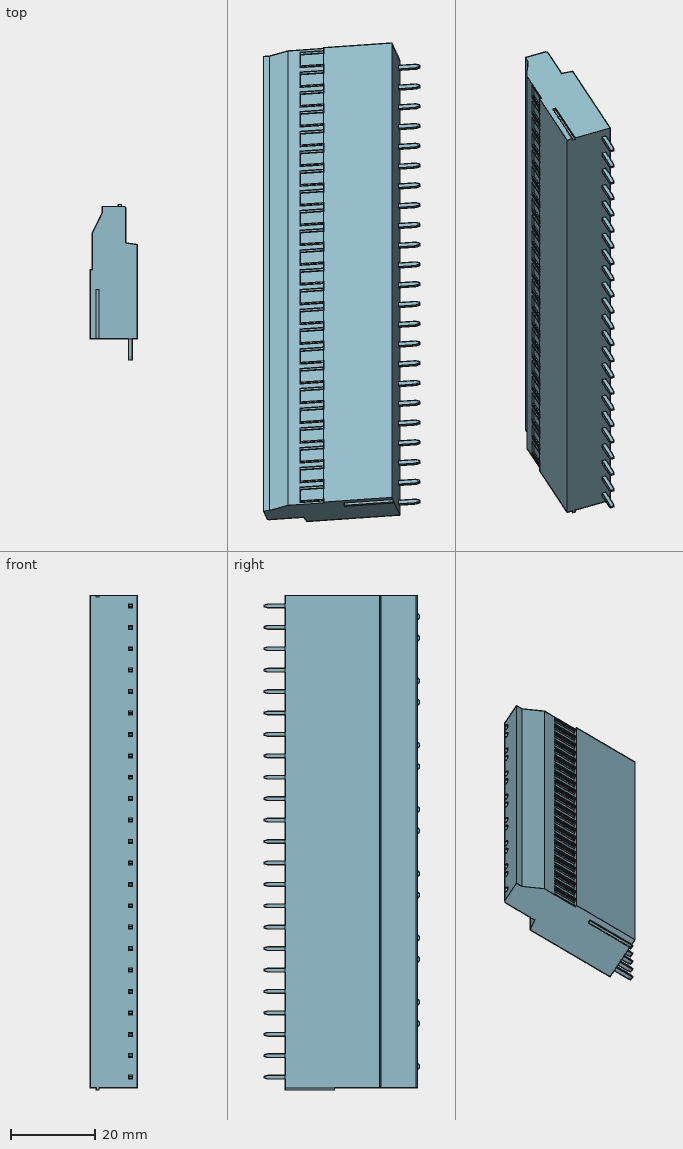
import cadquery as cq

total_height = 117.4
total_depth = 37.0
width = 11.2
rib_height = 0.6
pin_length = 5.0
ridge_height = 0.5
housing_height = total_height - rib_height
depth = total_depth - pin_length - ridge_height
lip_step = 0.5
lip_depth = 16.5
bevel_start = 25.1
bevel_end = 30.0
back_left = 2.8
back_right = 8.5
shoulder_depth = 22.4
shoulder_rise = 0.4
back_corner_chamfer = 0.4

contact_count = 23
row_span = 111.8
pitch = row_span / (contact_count - 1)
row_top = (housing_height + row_span) / 2

pin_size = 0.9
pin_x = 9.5
pin_tip_length = 0.9
pin_tip_size = 0.4

window_start = lip_depth
window_end = 22.2
window_height = 3.9
window_depth = 0.2
window_inner_height = 2.9
window_inner_depth = 0.6

rib_x = 1.8
rib_width = 0.7
rib_length = 11.7
groove_depth = 0.5

gaps_per_group = 3
ridge_x = 7.0
ridge_width = 0.8
ridge_base = 1.4


def box(x_range, y_range, z_range):
    """Box spanning the given (low, high) ranges."""
    size = [high - low for low, high in (x_range, y_range, z_range)]
    corner = (x_range[0], y_range[0], z_range[0])
    return cq.Workplane("XY").box(*size, centered=False).translate(corner)


def centered_range(middle, size):
    return (middle - size / 2, middle + size / 2)


def housing():
    outline = [
        (0, 0),
        (width, 0),
        (width, shoulder_depth),
        (back_right, shoulder_depth + shoulder_rise),
        (back_right, depth - back_corner_chamfer),
        (back_right - back_corner_chamfer, depth),
        (back_left, depth),
        (back_left, bevel_end),
        (lip_step, bevel_start),
        (lip_step, lip_depth),
        (0, lip_depth),
    ]
    return cq.Workplane("XY").polyline(outline).close().extrude(housing_height)


def pin(z):
    """Square pin whose tip narrows in Z."""
    half = pin_size / 2
    tip_half = pin_tip_size / 2
    tip_end = -pin_length
    tip_start = tip_end + pin_tip_length
    side_outline = [
        (0, z - half),
        (tip_start, z - half),
        (tip_end, z - tip_half),
        (tip_end, z + tip_half),
        (tip_start, z + half),
        (0, z + half),
    ]
    blade = cq.Workplane("YZ").polyline(side_outline).close().extrude(pin_size)
    return blade.translate((pin_x - pin_size / 2, 0, 0))


def window(z):
    """Cutter for a shallow window with a deeper middle."""
    y_range = (window_start, window_end)
    floor = lip_step + window_depth
    outer = box((0, floor), y_range, centered_range(z, window_height))
    inner_floor = lip_step + window_inner_depth
    inner = box((0, inner_floor), y_range, centered_range(z, window_inner_height))
    return outer.union(inner)


def ridge(z):
    low_edge = (depth, z - ridge_base / 2)
    crest = (depth + ridge_height, z)
    high_edge = (depth, z + ridge_base / 2)
    section = cq.Workplane("YZ").moveTo(*low_edge).threePointArc(crest, high_edge).close()
    dome = section.extrude(ridge_width)
    return dome.translate((ridge_x - ridge_width / 2, 0, 0))


result = housing()
for row in range(contact_count):
    row_z = row_top - row * pitch
    result = result.union(pin(row_z)).cut(window(row_z))

for gap in range(contact_count - 1):
    is_plain = gap % gaps_per_group == gaps_per_group - 1
    if not is_plain:
        result = result.union(ridge(row_top - (gap + 0.5) * pitch))

rib_y = (0, rib_length)
groove_z = (housing_height - groove_depth, housing_height)
result = result.cut(box(centered_range(rib_x, rib_width), rib_y, groove_z))
result = result.union(box(centered_range(rib_x, rib_width), rib_y, (-rib_height, 0)))